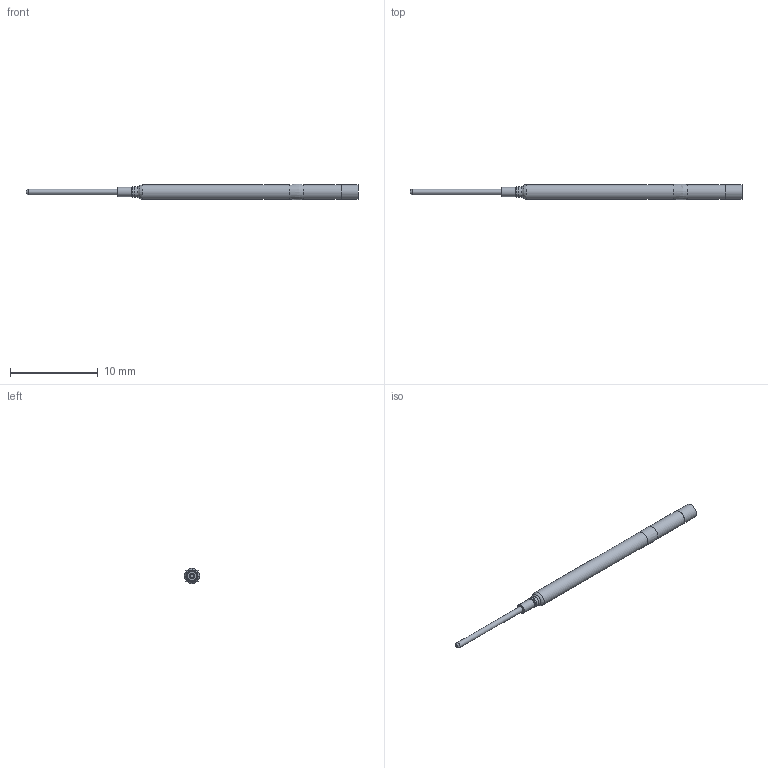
import cadquery as cq

PIN_D = 0.63
PIN_TIP_D = 0.37
SLEEVE_D = 1.05
LIP_FACE_D = 1.1
LIP_D = 1.16
NECK_D = 1.19
SHOULDER_D = 1.37
BARREL_D = 1.68
TAIL_D = 1.64
RING_D = 1.81

PIN_TIP_LENGTH = 0.24
SLEEVE_START = 10.38
LIP_FACE = 12.0
LIP_START = 12.13
NECK_START = 12.32
NECK_END = 12.66
SHOULDER_START = 12.9
BARREL_START = 13.26
RING_START = 30.0
RING_END = 31.6
TAIL_START = 35.93
LENGTH = 37.85

PIN_TIP_MID = (0.1, 0.255)
FLARE_MID = (12.8, 0.62)
SHOULDER_MID = (13.03, 0.785)

AXIS_START = (0, 0, 0)
AXIS_END = (1, 0, 0)


def probe_profile():
    """Half section of the probe: X along the axis, Y as the radius."""
    ring_crest = ((RING_START + RING_END) / 2, RING_D / 2)
    return (
        cq.Workplane("XY")
        .moveTo(0, 0)
        .lineTo(0, PIN_TIP_D / 2)
        .threePointArc(PIN_TIP_MID, (PIN_TIP_LENGTH, PIN_D / 2))
        .lineTo(SLEEVE_START, PIN_D / 2)
        .lineTo(SLEEVE_START, SLEEVE_D / 2)
        .lineTo(LIP_FACE, SLEEVE_D / 2)
        .lineTo(LIP_FACE, LIP_FACE_D / 2)
        .lineTo(LIP_START, LIP_FACE_D / 2)
        .lineTo(LIP_START, LIP_D / 2)
        .lineTo(NECK_START, NECK_D / 2)
        .lineTo(NECK_END, NECK_D / 2)
        .threePointArc(FLARE_MID, (SHOULDER_START, SHOULDER_D / 2))
        .threePointArc(SHOULDER_MID, (BARREL_START, BARREL_D / 2))
        .lineTo(RING_START, BARREL_D / 2)
        .threePointArc(ring_crest, (RING_END, BARREL_D / 2))
        .lineTo(TAIL_START, BARREL_D / 2)
        .lineTo(TAIL_START, TAIL_D / 2)
        .lineTo(LENGTH, TAIL_D / 2)
        .lineTo(LENGTH, 0)
        .close()
    )


result = probe_profile().revolve(360, AXIS_START, AXIS_END)